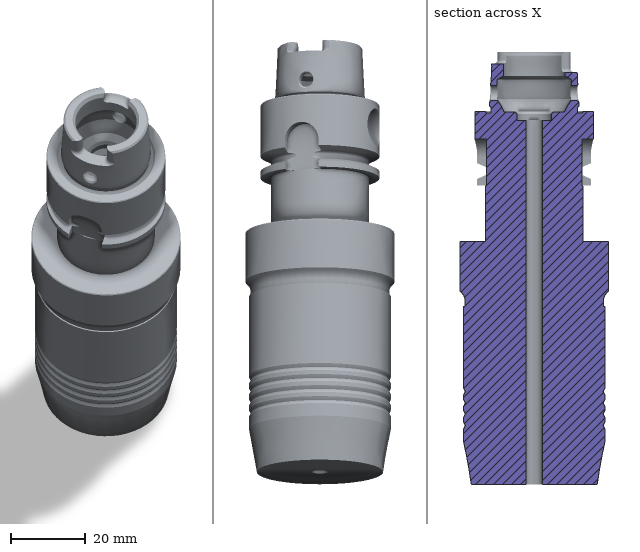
import cadquery as cq
import math

LENGTH = 115.9

NOSE_R = 16.9
NOSE_TOP_Z = 11.6
BODY_R = 19.0
BODY_TOP_Z = 47.9

V_GROOVE_COUNT = 4
V_GROOVE_FIRST_Z = 16.0
V_GROOVE_PITCH = 3.0
V_GROOVE_HALF_WIDTH = 0.9
V_GROOVE_DEPTH = 0.5

COLLAR_R = 40.0 / 2
COLLAR_BOTTOM_Z = 51.9
COLLAR_TOP_Z = 65.3
RELIEF_R = BODY_R - 0.3
RELIEF_FILLET_R = 2.5
RELIEF_CONE_ANGLE = 45
COLLAR_CHAMFER = 0.2

NECK_R = 13.1
FLANGE_R = 31.9 / 2
FLANGE_BOTTOM_Z = 80.2
FLANGE_TOP_Z = 100.1
GRIP_RIM_HEIGHT = 1.7
GRIP_GROOVE_HEIGHT = 4.2
GRIP_CONE_ANGLE = 25
GRIP_FILLET_R = 0.7
FLANGE_CHAMFER = 0.2

FACE_RECESS_R = 13.2
FACE_RECESS_DEPTH = 0.5

TAPER_ROOT_R = 12.0
TAPER_TOP_R = 11.4
TAPER_ROOT_Z = 101.5
UNDERCUT_R = 11.7
RIM_CHAMFER = 0.5

BORE_R = 8.2
MOUTH_CHAMFER_R = 0.7
MOUTH_CHAMFER_DEPTH = 0.9
CLAMP_EDGE_Z = 109.5
CLAMP_CHAMBER_R = 10.0
CLAMP_ANGLE = 30
CHAMBER_WALL_BOTTOM_Z = 103.4
CHAMBER_CONE_ANGLE = 30
CHAMBER_FLOOR_R = 8.0
POCKET_R = 4.5
POCKET_CHAMFER = 0.7
POCKET_DEPTH = 2.3
COOLANT_R = 2.1

DRIVE_SLOT_HALF_WIDTH = 3.6
DRIVE_SLOT_FLARE_R = 1.6
DRIVE_SLOT_SHOULDER_Y = 9.7
DRIVE_SLOT_FLOOR_FILLET = 0.9
DRIVE_SLOT_FRONT_Z = 110.6
DRIVE_SLOT_BACK_Z = 112.9

CROSS_HOLE_R = 2.0
CROSS_HOLE_Z = 105.0
CROSS_HOLE_CHAMFER = 0.3

FLANGE_SLOT_R = 4.8
FLANGE_SLOT_TOP_Z = 92.6
FLANGE_SLOT_FLOOR_Y = 12.9

BLIND_HOLE_R = 5.0
BLIND_HOLE_Z = 93.2
BLIND_HOLE_DEPTH = 4.6

OUTSIDE = 2 * COLLAR_R


def fillet_reach(radius, cone_angle):
    """Radial and axial reach of a fillet between a cylinder and a cone.

    The cone angle is measured in degrees from the horizontal plane.
    """
    turn = math.radians(90 - cone_angle)
    return radius * (1 - math.cos(turn)), radius * math.sin(turn)


def make_body():
    """Revolve the outer profile about the Z axis."""
    relief_inset, relief_drop = fillet_reach(RELIEF_FILLET_R, RELIEF_CONE_ANGLE)
    relief_cone_r = RELIEF_R + relief_inset
    relief_slope = math.tan(math.radians(RELIEF_CONE_ANGLE))
    relief_cone_z = COLLAR_BOTTOM_Z - (COLLAR_R - relief_cone_r) * relief_slope

    grip_bottom_z = FLANGE_BOTTOM_Z + GRIP_RIM_HEIGHT
    grip_top_z = grip_bottom_z + GRIP_GROOVE_HEIGHT
    grip_inset, grip_drop = fillet_reach(GRIP_FILLET_R, GRIP_CONE_ANGLE)
    grip_cone_r = NECK_R + grip_inset
    grip_cone_height = (FLANGE_R - grip_cone_r) * math.tan(math.radians(GRIP_CONE_ANGLE))
    grip_floor_offset = grip_cone_height + grip_drop

    recess_z = FLANGE_TOP_Z - FACE_RECESS_DEPTH

    profile = (
        cq.Workplane("XZ")
        .moveTo(0, 0)
        .lineTo(NOSE_R, 0)
        .lineTo(BODY_R, NOSE_TOP_Z)
        .lineTo(BODY_R, BODY_TOP_Z)
        .lineTo(RELIEF_R, BODY_TOP_Z)
        .lineTo(RELIEF_R, relief_cone_z - relief_drop)
        .tangentArcPoint((relief_cone_r, relief_cone_z), relative=False)
        .lineTo(COLLAR_R, COLLAR_BOTTOM_Z)
        .lineTo(COLLAR_R, COLLAR_TOP_Z - COLLAR_CHAMFER)
        .lineTo(COLLAR_R - COLLAR_CHAMFER, COLLAR_TOP_Z)
        .lineTo(NECK_R, COLLAR_TOP_Z)
        .lineTo(NECK_R, FLANGE_BOTTOM_Z)
        .lineTo(FLANGE_R, FLANGE_BOTTOM_Z)
        .lineTo(FLANGE_R, grip_bottom_z)
        .lineTo(grip_cone_r, grip_bottom_z + grip_cone_height)
        .tangentArcPoint((NECK_R, grip_bottom_z + grip_floor_offset), relative=False)
        .lineTo(NECK_R, grip_top_z - grip_floor_offset)
        .tangentArcPoint((grip_cone_r, grip_top_z - grip_cone_height), relative=False)
        .lineTo(FLANGE_R, grip_top_z)
        .lineTo(FLANGE_R, FLANGE_TOP_Z - FLANGE_CHAMFER)
        .lineTo(FLANGE_R - FLANGE_CHAMFER, FLANGE_TOP_Z)
        .lineTo(FACE_RECESS_R, FLANGE_TOP_Z)
        .lineTo(FACE_RECESS_R - FACE_RECESS_DEPTH, recess_z)
        .lineTo(UNDERCUT_R, recess_z)
        .lineTo(UNDERCUT_R, TAPER_ROOT_Z - (TAPER_ROOT_R - UNDERCUT_R))
        .lineTo(TAPER_ROOT_R, TAPER_ROOT_Z)
        .lineTo(TAPER_TOP_R, LENGTH - RIM_CHAMFER)
        .lineTo(TAPER_TOP_R - RIM_CHAMFER, LENGTH)
        .lineTo(0, LENGTH)
        .close()
    )
    return profile.revolve(360, (0, 0), (0, 1))


def make_v_groove(center_z):
    """Ring with a triangular section that cuts one V groove."""
    return (
        cq.Workplane("XZ")
        .moveTo(BODY_R, center_z - V_GROOVE_HALF_WIDTH)
        .lineTo(BODY_R - V_GROOVE_DEPTH, center_z)
        .lineTo(BODY_R, center_z + V_GROOVE_HALF_WIDTH)
        .close()
        .revolve(360, (0, 0), (0, 1))
    )


def make_bore():
    """Stepped bore with a clamping chamber, open from end to end."""
    clamp_drop = (CLAMP_CHAMBER_R - BORE_R) * math.tan(math.radians(CLAMP_ANGLE))
    cone_drop = (CLAMP_CHAMBER_R - CHAMBER_FLOOR_R) / math.tan(math.radians(CHAMBER_CONE_ANGLE))
    chamber_floor_z = CHAMBER_WALL_BOTTOM_Z - cone_drop
    pocket_floor_z = chamber_floor_z - POCKET_DEPTH
    return (
        cq.Workplane("XZ")
        .moveTo(0, 0)
        .lineTo(COOLANT_R, 0)
        .lineTo(COOLANT_R, pocket_floor_z)
        .lineTo(POCKET_R, pocket_floor_z)
        .lineTo(POCKET_R, chamber_floor_z - POCKET_CHAMFER)
        .lineTo(POCKET_R + POCKET_CHAMFER, chamber_floor_z)
        .lineTo(CHAMBER_FLOOR_R, chamber_floor_z)
        .lineTo(CLAMP_CHAMBER_R, CHAMBER_WALL_BOTTOM_Z)
        .lineTo(CLAMP_CHAMBER_R, CLAMP_EDGE_Z - clamp_drop)
        .lineTo(BORE_R, CLAMP_EDGE_Z)
        .lineTo(BORE_R, LENGTH - MOUTH_CHAMFER_DEPTH)
        .lineTo(BORE_R + MOUTH_CHAMFER_R, LENGTH)
        .lineTo(0, LENGTH)
        .close()
        .revolve(360, (0, 0), (0, 1))
    )


def make_drive_slot(floor_z):
    """Slot on the +Y side whose walls flare outward to flat shoulders."""
    flare_start_y = DRIVE_SLOT_SHOULDER_Y - DRIVE_SLOT_FLARE_R
    flare_end_x = DRIVE_SLOT_HALF_WIDTH + DRIVE_SLOT_FLARE_R
    cutter = (
        cq.Workplane("XY", origin=(0, 0, floor_z))
        .moveTo(DRIVE_SLOT_HALF_WIDTH, 0)
        .lineTo(DRIVE_SLOT_HALF_WIDTH, flare_start_y)
        .tangentArcPoint((flare_end_x, DRIVE_SLOT_SHOULDER_Y), relative=False)
        .lineTo(TAPER_ROOT_R, DRIVE_SLOT_SHOULDER_Y)
        .lineTo(TAPER_ROOT_R, OUTSIDE)
        .lineTo(-TAPER_ROOT_R, OUTSIDE)
        .lineTo(-TAPER_ROOT_R, DRIVE_SLOT_SHOULDER_Y)
        .lineTo(-flare_end_x, DRIVE_SLOT_SHOULDER_Y)
        .tangentArcPoint((-DRIVE_SLOT_HALF_WIDTH, flare_start_y), relative=False)
        .lineTo(-DRIVE_SLOT_HALF_WIDTH, 0)
        .close()
        .extrude(LENGTH - floor_z)
    )
    return cutter.faces("<Z").edges().fillet(DRIVE_SLOT_FLOOR_FILLET)


def make_cross_hole():
    """Countersunk hole from the clamping chamber out through the +Y wall."""
    wall_fraction = (CROSS_HOLE_Z - TAPER_ROOT_Z) / (LENGTH - TAPER_ROOT_Z)
    wall_r = TAPER_ROOT_R + (TAPER_TOP_R - TAPER_ROOT_R) * wall_fraction
    return (
        cq.Workplane("XY", origin=(0, 0, CROSS_HOLE_Z))
        .moveTo(0, BORE_R)
        .lineTo(CROSS_HOLE_R, BORE_R)
        .lineTo(CROSS_HOLE_R, wall_r - CROSS_HOLE_CHAMFER)
        .lineTo(CROSS_HOLE_R + 2 * CROSS_HOLE_CHAMFER, wall_r + CROSS_HOLE_CHAMFER)
        .lineTo(0, wall_r + CROSS_HOLE_CHAMFER)
        .close()
        .revolve(360, (0, 0), (0, 1))
    )


def make_flange_slot():
    """Round-topped slot on the -Y side, open at the bottom of the flange."""
    straight_top_z = FLANGE_SLOT_TOP_Z - FLANGE_SLOT_R
    return (
        cq.Workplane("XZ", origin=(0, -FLANGE_SLOT_FLOOR_Y, 0))
        .moveTo(-FLANGE_SLOT_R, FLANGE_BOTTOM_Z)
        .lineTo(FLANGE_SLOT_R, FLANGE_BOTTOM_Z)
        .lineTo(FLANGE_SLOT_R, straight_top_z)
        .threePointArc((0, FLANGE_SLOT_TOP_Z), (-FLANGE_SLOT_R, straight_top_z))
        .close()
        .extrude(OUTSIDE - FLANGE_SLOT_FLOOR_Y)
    )


def make_blind_hole():
    """Flat-bottomed hole entering the flange from -X."""
    floor_x = -(FLANGE_R - BLIND_HOLE_DEPTH)
    return cq.Workplane("YZ", origin=(floor_x, 0, BLIND_HOLE_Z)).circle(BLIND_HOLE_R).extrude(-OUTSIDE)


def opposite(cutter):
    """Turn a cutter half a revolution about the Z axis."""
    return cutter.rotate((0, 0, 0), (0, 0, 1), 180)


result = make_body().cut(make_bore())

for index in range(V_GROOVE_COUNT):
    result = result.cut(make_v_groove(V_GROOVE_FIRST_Z + index * V_GROOVE_PITCH))

result = result.cut(make_drive_slot(DRIVE_SLOT_BACK_Z))
result = result.cut(opposite(make_drive_slot(DRIVE_SLOT_FRONT_Z)))
result = result.cut(make_cross_hole())
result = result.cut(opposite(make_cross_hole()))
result = result.cut(make_flange_slot())
result = result.cut(opposite(make_flange_slot()))
result = result.cut(make_blind_hole())